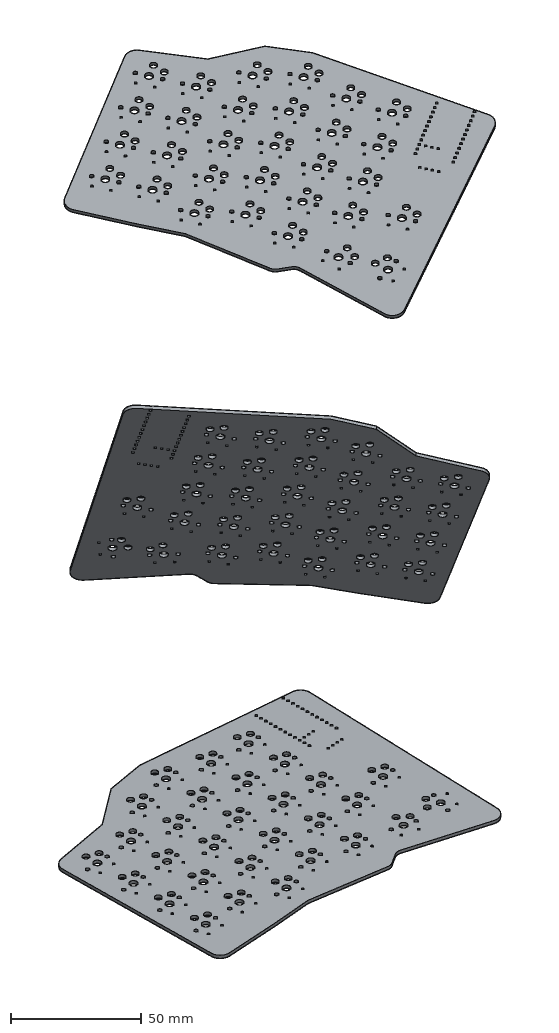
import cadquery as cq
import math

BOARD_THICKNESS = 1.6

CORNER_RADIUS = 5.0
STEP_RADIUS = 4.0
OUTLINE_CORNERS = [
    (0.0, 105.1, CORNER_RADIUS),
    (31.0, 108.97, None),
    (49.94, 121.91, None),
    (68.46, 124.02, STEP_RADIUS),
    (147.0, 112.12, CORNER_RADIUS),
    (141.88, -1.75, CORNER_RADIUS),
    (95.7, 14.53, STEP_RADIUS),
    (87.89, 10.12, STEP_RADIUS),
    (49.9, 18.28, STEP_RADIUS),
    (31.0, 17.74, None),
    (0.0, 17.68, CORNER_RADIUS),
]

KEY_PITCH = 19.0
FIRST_COLUMN_X = 12.0
KEY_COLUMNS = [
    (93.75, 4),
    (93.75, 4),
    (105.75, 5),
    (110.75, 5),
    (104.75, 5),
    (102.75, 4),
]
QUARTER_TURN = 90.0
THUMB_TURN = -17.5
LOOSE_KEYS = [
    (127.0, 50.75, 0.0),
    (109.77, 23.88, THUMB_TURN),
    (129.94, 23.18, THUMB_TURN + QUARTER_TURN),
]

STEM_DIAMETER = 3.43
CONTACT_DIAMETER = 3.0
CONTACT_OFFSETS = [(0.0, 5.95), (5.0, 3.75)]
GUIDE_DIAMETER = 1.7
GUIDE_OFFSET_X = 5.5
LEAD_DIAMETER = 1.0
LEAD_OFFSET_X = 3.81
LEAD_OFFSET_Y = -5.0

PIN_PITCH = 2.54
CONTROLLER_PIN_DIAMETER = 1.09
CONTROLLER_LEFT_X = 121.95
CONTROLLER_REAR_Y = 112.7
CONTROLLER_ROW_SPACING = 15.24
CONTROLLER_PINS_PER_ROW = 12
DISPLAY_PIN_DIAMETER = 0.99
DISPLAY_FIRST_X = 125.71
DISPLAY_Y = 78.33
DISPLAY_PINS = 4
SIDE_PIN_COUNT = 3
SIDE_PIN_ROW = 9


def make_board():
    """Plate with the outline extruded and the marked corners rounded."""
    points = [(x, y) for x, y, _ in OUTLINE_CORNERS]
    board = cq.Workplane("XY").polyline(points).close().extrude(BOARD_THICKNESS)
    for x, y, radius in OUTLINE_CORNERS:
        if radius is not None:
            corner = cq.selectors.NearestToPointSelector((x, y, BOARD_THICKNESS / 2))
            board = board.edges("|Z").edges(corner).fillet(radius)
    return board


def drill(board, points, diameter):
    """Cut one through hole of the given diameter at every point."""
    drills = cq.Workplane("XY").pushPoints(points).circle(diameter / 2).extrude(BOARD_THICKNESS)
    return board.cut(drills)


def key_placements():
    """Centre and turn of every key."""
    placements = []
    for column, (rear_y, count) in enumerate(KEY_COLUMNS):
        x = FIRST_COLUMN_X + column * KEY_PITCH
        for row in range(count):
            placements.append((x, rear_y - row * KEY_PITCH, 0.0))
    return placements + LOOSE_KEYS


def at_every_key(offsets):
    """Board positions of the given switch offsets, repeated for every key."""
    points = []
    for key_x, key_y, turn in key_placements():
        cosine = math.cos(math.radians(turn))
        sine = math.sin(math.radians(turn))
        for dx, dy in offsets:
            points.append((key_x + dx * cosine - dy * sine, key_y + dx * sine + dy * cosine))
    return points


def drill_switches(board):
    """Stem, contact, guide and lead holes of all switches."""
    guides = [(-GUIDE_OFFSET_X, 0.0), (GUIDE_OFFSET_X, 0.0)]
    leads = [(-LEAD_OFFSET_X, LEAD_OFFSET_Y), (LEAD_OFFSET_X, LEAD_OFFSET_Y)]
    board = drill(board, at_every_key([(0.0, 0.0)]), STEM_DIAMETER)
    board = drill(board, at_every_key(CONTACT_OFFSETS), CONTACT_DIAMETER)
    board = drill(board, at_every_key(guides), GUIDE_DIAMETER)
    return drill(board, at_every_key(leads), LEAD_DIAMETER)


def drill_controller(board):
    """Two parallel rows of controller pins."""
    points = []
    for x in (CONTROLLER_LEFT_X, CONTROLLER_LEFT_X + CONTROLLER_ROW_SPACING):
        for pin in range(CONTROLLER_PINS_PER_ROW):
            points.append((x, CONTROLLER_REAR_Y - pin * PIN_PITCH))
    return drill(board, points, CONTROLLER_PIN_DIAMETER)


def drill_small_headers(board):
    """Display header, and the short row beside the controller's left row."""
    display = [(DISPLAY_FIRST_X + pin * PIN_PITCH, DISPLAY_Y) for pin in range(DISPLAY_PINS)]
    side_y = CONTROLLER_REAR_Y - SIDE_PIN_ROW * PIN_PITCH
    side = [(CONTROLLER_LEFT_X + pin * PIN_PITCH, side_y) for pin in range(1, SIDE_PIN_COUNT + 1)]
    return drill(board, display + side, DISPLAY_PIN_DIAMETER)


result = drill_small_headers(drill_controller(drill_switches(make_board())))